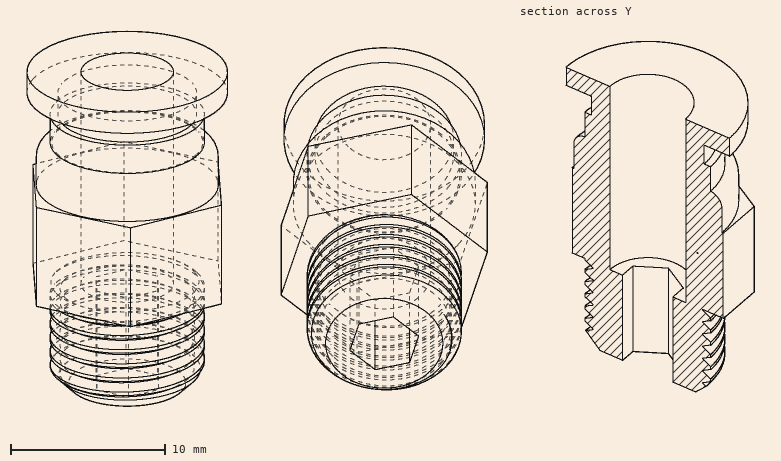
import cadquery as cq
import math

thread_length = 7.0
hex_height = 7.0
collar_height = 3.0
shoulder_height = 2.0
neck_height = 1.5
flange_height = 1.5

hex_sides = 6
hex_across_flats = 12.0
collar_diameter = 11.8
collar_fillet = 1.0
shoulder_diameter = 10.0
neck_diameter = 9.0
flange_diameter = 13.0

thread_diameter = 10.0
thread_pitch = 1.0
thread_angle = 60.0
crest_flat = thread_pitch / 4
end_chamfer = 1.2
groove_overcut = 0.5

tube_bore_diameter = 6.0
hex_socket_across_flats = 4.0

hex_base_z = thread_length
hex_top_z = hex_base_z + hex_height
collar_top_z = hex_top_z + collar_height
shoulder_top_z = collar_top_z + shoulder_height
neck_top_z = shoulder_top_z + neck_height
total_height = neck_top_z + flange_height
tube_bore_floor_z = hex_base_z


def cylinder(diameter, bottom_z, height):
    return cq.Workplane("XY").workplane(offset=bottom_z).circle(diameter / 2).extrude(height)


def hex_prism(across_flats, bottom_z, height):
    """Hexagonal prism with two flats facing +X and -X."""
    half_side_angle = 180 / hex_sides
    across_corners = across_flats / math.cos(math.radians(half_side_angle))
    prism = cq.Workplane("XY").workplane(offset=bottom_z).polygon(hex_sides, across_corners).extrude(height)
    return prism.rotate((0, 0, 0), (0, 0, 1), half_side_angle)


def thread_groove():
    """Helical V-groove cutter, half a turn longer than the thread at each end.

    It starts on the -X side, so its root passes the +X side at Z = 0.
    """
    start_z = -thread_pitch / 2
    length = thread_length + thread_pitch
    half_width = (thread_pitch - crest_flat) / 2
    crest_radius = thread_diameter / 2
    root_radius = crest_radius - half_width / math.tan(math.radians(thread_angle / 2))
    outer_radius = crest_radius + groove_overcut

    helix = cq.Wire.makeHelix(thread_pitch, length, root_radius).translate(cq.Vector(0, 0, start_z))
    profile = cq.Workplane("XZ").polyline([
        (root_radius, start_z),
        (crest_radius, start_z - half_width),
        (outer_radius, start_z - half_width),
        (outer_radius, start_z + half_width),
        (crest_radius, start_z + half_width),
    ]).close()
    groove = profile.sweep(cq.Workplane(obj=helix), isFrenet=True)
    return groove.rotate((0, 0, 0), (0, 0, 1), 180)


def threaded_stud():
    blank = cylinder(thread_diameter, 0, thread_length).faces("<Z").chamfer(end_chamfer)
    return blank.cut(thread_groove())


def fitting_body():
    collar = cylinder(collar_diameter, hex_top_z, collar_height).faces(">Z").edges().fillet(collar_fillet)
    body = hex_prism(hex_across_flats, hex_base_z, hex_height).union(collar)
    body = body.union(cylinder(shoulder_diameter, collar_top_z, shoulder_height))
    body = body.union(cylinder(neck_diameter, shoulder_top_z, neck_height))
    return body.union(cylinder(flange_diameter, neck_top_z, flange_height))


def passage():
    tube_bore = cylinder(tube_bore_diameter, tube_bore_floor_z, total_height - tube_bore_floor_z)
    return tube_bore.union(hex_prism(hex_socket_across_flats, 0, tube_bore_floor_z))


result = fitting_body().union(threaded_stud()).cut(passage()).solids()